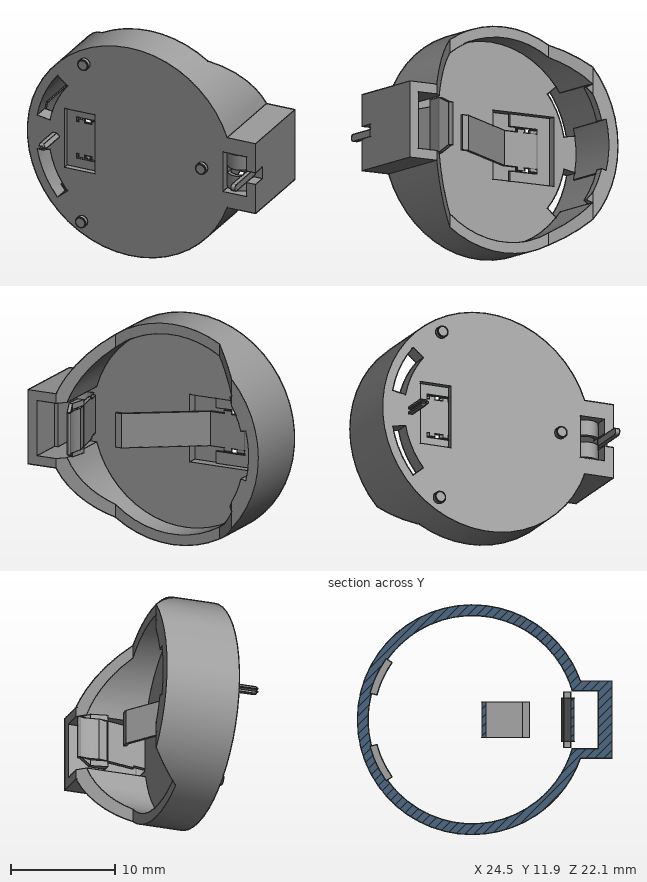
import cadquery as cq
import math


disc_radius = 11.05
cell_radius = 10.0
floor_thickness = 1.67
side_rim_height = 4.3
left_rim_height = 7.47
block_height = 8.53
block_right = 13.45
block_half_width = 3.72
left_slope_outer = -8.15
left_slope_inner = -5.15
right_slope_inner = 6.17
right_slope_outer = right_slope_inner + block_height - side_rim_height

slot_inner_radius = 8.75
slot_outer_radius = 10.15
slot_angle = 155.0
slot_sweep = 29.4
lip_inner_radius = 9.45
lip_sweep = 21.0
lip_thickness = 0.85

plate_window_left = -7.05
plate_window_right = -3.8
plate_window_half = 3.14
spring_window_left = 9.95
spring_window_half = 2.1
pocket_left = 7.35
pocket_right = 12.47
pocket_half = 2.77
groove_half = 0.61
groove_depth = 1.47

peg_radius = 0.56
peg_height = 0.5
peg_chamfer = 0.07
peg_places = [(7.77, 0.0), (-4.88, 8.38), (-5.12, -8.43)]

pin_length = 3.0
pin_half_width = 0.35
right_pin_left = 12.27
right_pin_thickness = 0.45
left_pin_left = -8.3
left_pin_shoulder = -7.9
left_pin_nose = -7.57
left_pin_sheet = 0.2

sheet = 0.27
ledge_height = 0.6
frame_left = -7.47
frame_right = -2.95
frame_half = 3.38
contact_pocket_right = -0.5
tongue_half = 1.72
tongue_slot_left = -6.05
tongue_slot_half = 2.18
tongue_bend = -2.33
tongue_knee = 4.85
tongue_end = 5.51
tongue_top = 5.54
tab_reach = 0.32
tab_length = 0.83
right_tab_left = -4.65

spring_sheet = 0.37
bend_radius = 1.37
bend_bottom = 0.3
spring_top = 8.92
spring_half = 2.08
leg_half = 1.89
leg_height = 2.95
leg_gap_half = 0.35
anchor_top = 4.9
waist_x, waist_y = 8.6, 6.85
neck_x, neck_y = 8.8, 7.85
tip_x = 8.67
tip_fillet = 0.12
wing_top_left = 8.77
wing_bottom_left = 9.11
wing_half = 2.67
wing_bottom = 5.88
wing_shoulder = 7.55
wing_top = 8.62


def box(x0, x1, y0, y1, z0, z1):
    """Block between two opposite corners."""
    return cq.Workplane("XY").box(x1 - x0, y1 - y0, z1 - z0, centered=False).translate((x0, y0, z0))


def front_plane(y):
    """Plane at height y above the floor's outer face; its local axes are X and Z."""
    return cq.Workplane("XZ", origin=(0, y, 0))


def disc(radius, y0, y1):
    """Cylinder on the holder axis."""
    return front_plane(y0).circle(radius).extrude(y0 - y1)


def ring_sector(inner, outer, middle, sweep, y0, y1):
    """Part of a ring about the holder axis, centred on one angle."""
    def at(radius, angle):
        turn = math.radians(angle)
        return (radius * math.cos(turn), radius * math.sin(turn))

    first = middle - sweep / 2
    last = middle + sweep / 2
    return (
        front_plane(y0)
        .moveTo(*at(inner, first))
        .lineTo(*at(outer, first))
        .threePointArc(at(outer, middle), at(outer, last))
        .lineTo(*at(inner, last))
        .threePointArc(at(inner, middle), at(inner, first))
        .close()
        .extrude(y0 - y1)
    )


def make_housing():
    side_profile = (
        cq.Workplane("XY")
        .polyline([
            (-disc_radius, 0),
            (-disc_radius, left_rim_height),
            (left_slope_outer, left_rim_height),
            (left_slope_inner, side_rim_height),
            (right_slope_inner, side_rim_height),
            (right_slope_outer, block_height),
            (block_right, block_height),
            (block_right, 0),
        ])
        .close()
        .extrude(disc_radius, both=True)
    )
    block = box(0, block_right, 0, block_height, -block_half_width, block_half_width)
    body = disc(disc_radius, 0, block_height).union(block).intersect(side_profile)

    cavity = disc(cell_radius, floor_thickness, block_height)
    for side in (1, -1):
        lip = ring_sector(lip_inner_radius, disc_radius, side * slot_angle, lip_sweep,
                          left_rim_height - lip_thickness, left_rim_height)
        cavity = cavity.cut(lip)
    body = body.cut(cavity)

    for side in (1, -1):
        body = body.cut(ring_sector(slot_inner_radius, slot_outer_radius, side * slot_angle, slot_sweep,
                                    0, floor_thickness))
        body = body.cut(ring_sector(lip_inner_radius, slot_outer_radius, side * slot_angle, lip_sweep,
                                    0, left_rim_height - lip_thickness))
    body = body.cut(box(plate_window_left, plate_window_right, 0, ledge_height,
                        -plate_window_half, plate_window_half))
    body = body.cut(box(frame_left, contact_pocket_right, ledge_height, floor_thickness,
                        -frame_half, frame_half))
    body = body.cut(box(spring_window_left, pocket_right, 0, floor_thickness,
                        -spring_window_half, spring_window_half))
    body = body.cut(box(pocket_left, pocket_right, floor_thickness, block_height, -pocket_half, pocket_half))
    return body.cut(box(pocket_right, block_right, 0, groove_depth, -groove_half, groove_half))


def make_pegs():
    pegs = front_plane(0).pushPoints(peg_places).circle(peg_radius).extrude(peg_height)
    return pegs.faces("<Y").chamfer(peg_chamfer)


def round_tip(x0, x1, top):
    """Upright bar with a fully rounded lower end, as wide and long as a solder pin."""
    straight_end = pin_half_width - pin_length
    return (
        cq.Workplane("YZ", origin=(x0, 0, 0))
        .moveTo(top, -pin_half_width)
        .lineTo(straight_end, -pin_half_width)
        .threePointArc((-pin_length, 0), (straight_end, pin_half_width))
        .lineTo(top, pin_half_width)
        .close()
        .extrude(x1 - x0)
    )


def make_left_pin():
    """Pin folded into a channel that opens toward -X."""
    top = ledge_height
    inner_half = pin_half_width - left_pin_sheet
    nose_inner = left_pin_nose - left_pin_sheet
    channel = (
        front_plane(top)
        .polyline([
            (left_pin_left, pin_half_width),
            (left_pin_shoulder, pin_half_width),
            (left_pin_nose, 0),
            (left_pin_shoulder, -pin_half_width),
            (left_pin_left, -pin_half_width),
            (left_pin_left, -inner_half),
            (left_pin_shoulder - left_pin_sheet, -inner_half),
            (nose_inner, 0),
            (left_pin_shoulder - left_pin_sheet, inner_half),
            (left_pin_left, inner_half),
        ])
        .close()
        .extrude(top + pin_length)
    )
    return channel.intersect(round_tip(left_pin_left, left_pin_nose, top))


def make_floor_contact():
    low = ledge_height
    high = low + sheet
    frame = box(frame_left, frame_right, low, high, -frame_half, frame_half)
    frame = frame.cut(box(tongue_slot_left, frame_right, low, high, -tongue_slot_half, tongue_slot_half))

    tongue = (
        cq.Workplane("XY")
        .polyline([
            (tongue_slot_left, low),
            (tongue_bend, low),
            (tongue_knee, tongue_top - sheet),
            (tongue_end, tongue_top - sheet),
            (tongue_end, tongue_top),
            (tongue_knee, tongue_top),
            (tongue_bend, high),
            (tongue_slot_left, high),
        ])
        .close()
        .extrude(tongue_half, both=True)
    )
    contact = frame.union(tongue)

    tab_half = tongue_half + tab_reach
    for left in (tongue_slot_left, right_tab_left):
        right = left + tab_length
        tab = cq.Workplane("XY").polyline([(left, high), (left + sheet, low), (right, low), (right, high)])
        contact = contact.union(tab.close().extrude(tab_half, both=True))
    return contact


def make_spring_contact():
    """Strip bent into a U: one limb stands in the pocket, the other presses on the cell."""
    middle = pocket_right - bend_radius
    bend_y = bend_bottom + bend_radius
    inner_radius = bend_radius - spring_sheet
    strip = (
        cq.Workplane("XY")
        .moveTo(pocket_right, anchor_top)
        .lineTo(pocket_right, bend_y)
        .threePointArc((middle, bend_bottom), (middle - bend_radius, bend_y))
        .lineTo(waist_x, waist_y)
        .threePointArc((neck_x, neck_y), (tip_x, spring_top))
        .lineTo(tip_x + spring_sheet, spring_top)
        .threePointArc((neck_x + spring_sheet, neck_y), (waist_x + spring_sheet, waist_y))
        .lineTo(middle - inner_radius, bend_y)
        .threePointArc((middle, bend_bottom + spring_sheet), (middle + inner_radius, bend_y))
        .lineTo(middle + inner_radius, anchor_top)
        .close()
        .extrude(spring_half, both=True)
    )
    strip = strip.faces(">Y").edges("|Z").fillet(tip_fillet)
    strip = strip.cut(box(middle - inner_radius, middle + inner_radius, 0, bend_y,
                          -leg_gap_half, leg_gap_half))
    side_relief = box(waist_x, pocket_right, 0, leg_height, leg_half, spring_half)
    strip = strip.cut(side_relief).cut(side_relief.mirror("XY"))

    anchor = box(pocket_right - spring_sheet, pocket_right, bend_y, anchor_top, -pocket_half, pocket_half)
    wing_outline = (
        cq.Workplane("YZ")
        .polyline([
            (wing_bottom, -wing_half),
            (wing_shoulder, -wing_half),
            (wing_top, -spring_half),
            (wing_top, spring_half),
            (wing_shoulder, wing_half),
            (wing_bottom, wing_half),
        ])
        .close()
        .extrude(pocket_right)
    )
    wings = (
        cq.Workplane("XY")
        .polyline([
            (wing_top_left, wing_top),
            (wing_bottom_left, wing_shoulder),
            (waist_x + spring_sheet / 2, wing_bottom),
            (wing_bottom_left + spring_sheet, wing_bottom),
            (wing_bottom_left + spring_sheet, wing_shoulder),
            (wing_top_left + spring_sheet, wing_top),
        ])
        .close()
        .extrude(wing_half, both=True)
        .intersect(wing_outline)
    )
    pin = round_tip(right_pin_left, right_pin_left + right_pin_thickness, bend_y)
    return strip.union(anchor).union(wings).union(pin)


result = (
    make_housing()
    .union(make_pegs())
    .union(make_floor_contact())
    .union(make_left_pin())
    .union(make_spring_contact())
)